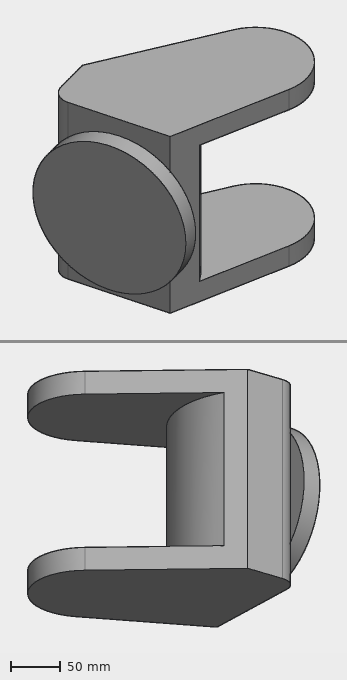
import cadquery as cq
import math

disc_diameter = 180.0
disc_thickness = 20.0

height = 221.0
left_x = -80.0
left_edge_top_y = 64.0
base_right_x = 60.0
corner_radius = 20.0

tip_x = 69.41
tip_y = 157.9
tip_radius = 60.0

gap_height = 170.0
floor_center_x = -16.0
floor_center_y = -1.8
floor_radius = 98.0


def tip_tangent_point(x, y, side):
    """Point where a line from (x, y) touches the arm tip; side is +1 for left of the line of centres."""
    dx = tip_x - x
    dy = tip_y - y
    distance = math.hypot(dx, dy)
    direction = math.atan2(dy, dx) + side * math.asin(tip_radius / distance)
    length = math.sqrt(distance**2 - tip_radius**2)
    return (x + length * math.cos(direction), y + length * math.sin(direction))


def tip_far_point():
    """Point of the tip arc on the bisector of the two tangent points."""
    left_angle = math.atan2(left_tangent[1] - tip_y, left_tangent[0] - tip_x)
    right_angle = math.atan2(right_tangent[1] - tip_y, right_tangent[0] - tip_x)
    middle = (left_angle + right_angle) / 2
    return (tip_x + tip_radius * math.cos(middle), tip_y + tip_radius * math.sin(middle))


left_tangent = tip_tangent_point(left_x, left_edge_top_y, 1)
right_tangent = tip_tangent_point(base_right_x, 0, -1)


def make_body():
    """Full-height block with the tapered, round-ended outline."""
    return (
        cq.Workplane("XY")
        .workplane(offset=-height / 2)
        .moveTo(left_x, 0)
        .lineTo(base_right_x, 0)
        .lineTo(*right_tangent)
        .threePointArc(tip_far_point(), left_tangent)
        .lineTo(left_x, left_edge_top_y)
        .close()
        .extrude(height)
        .edges(cq.selectors.NearestToPointSelector((left_x, 0, 0)))
        .fillet(corner_radius)
    )


def make_gap():
    """Open space between the arms, beyond the cylindrical floor."""
    reach = 2 * (tip_y + tip_radius)
    space = cq.Workplane("XY").box(2 * reach, reach, gap_height, centered=(True, False, True))
    floor = (
        cq.Workplane("XY")
        .center(floor_center_x, floor_center_y)
        .circle(floor_radius)
        .extrude(gap_height / 2, both=True)
    )
    return space.cut(floor)


def make_disc():
    """Round mounting flange on the front of the body."""
    return cq.Workplane("XZ").circle(disc_diameter / 2).extrude(disc_thickness)


result = make_body().cut(make_gap()).union(make_disc())